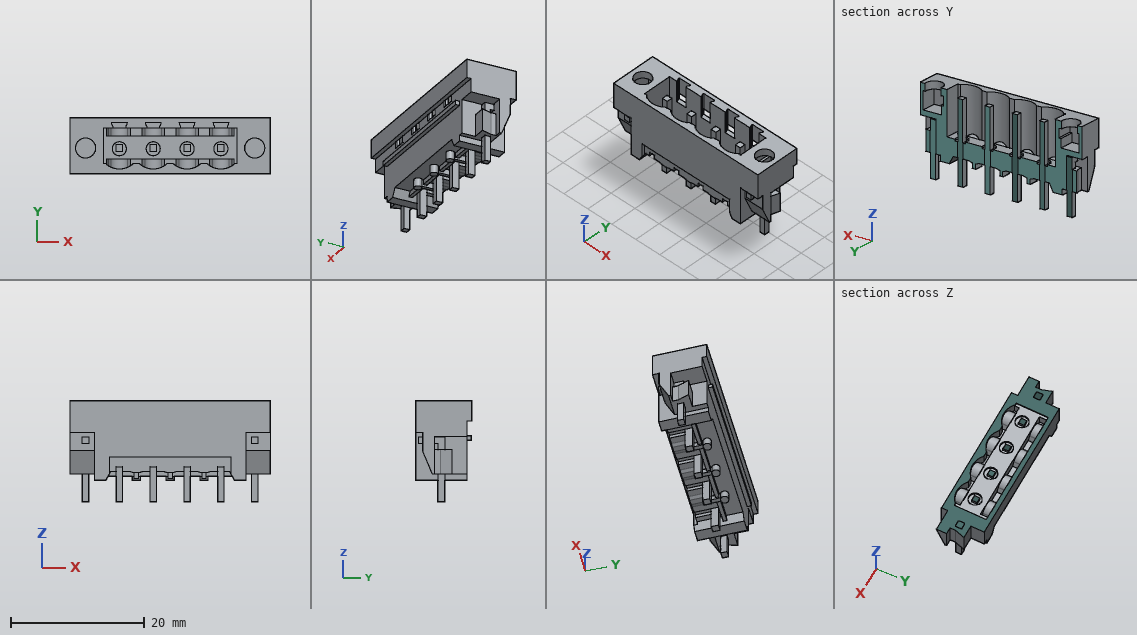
import cadquery as cq
import math


OVERALL_LENGTH = 30.12
LENGTH = 30.1
DEPTH = 8.43
HEIGHT = 15.2
FOOT_Z = 3.22
BACK_Y = 7.7
OVERHANG_Z = 12.1
RIDGE_TOP_Z = 9.95
RIDGE_HEIGHT = 0.72
RIDGE_Y = 8.37
HALF_LENGTH = LENGTH / 2

TERMINAL_COUNT = 4
END_PIN_SPAN = 25.4
PITCH = END_PIN_SPAN / (TERMINAL_COUNT + 1)
END_X = END_PIN_SPAN / 2
TERMINAL_XS = [(i - (TERMINAL_COUNT - 1) / 2) * PITCH for i in range(TERMINAL_COUNT)]
MIDWAY_XS = [x + PITCH / 2 for x in TERMINAL_XS[:-1]]

PIN_WIDTH = 1.0
PIN_BACK_Y = 4.37
PIN_TOP_Z = 14.28
PIN_BASE_DEPTH = 1.1
PIN_STEP_Z = 5.27
PIN_BASE_FRONT_Y = PIN_BACK_Y - PIN_BASE_DEPTH
PIN_CENTER_Y = PIN_BACK_Y - PIN_WIDTH / 2

MOUNT_LEG_TOP_Z = 9.75
MOUNT_LEG_FRONT_Y = 0.45

BLOCK_HALF = 11.4
RECESS_HALF = 9.13
RECESS_DEPTH = 0.57
RECESS_TOP_Z = 6.72
UNDERSIDE_Z = 4.58
UNDERSIDE_HALF = 8.92
FOOT_INNER_X = 9.65
CROSS_WALL_Z = 3.83
CROSS_WALL_Y = 4.52
CROSS_WALL_THICKNESS = 0.6
WAVE_DROP = 0.18
WAVE_BASE_HALF = 1.0
WAVE_TIP_HALF = 0.42
RIB_WIDTH = 0.63
RIB_Z = 3.5
RIB_FRONT_Y = 2.55
POST_RADIUS = 0.63
POST_Y = 5.87

FLANGE_Z = 4.2
FLANGE_FRONT_Y = 1.0
FLANGE_TOP_Z = 10.4
SLOPE_TOP_Z = 7.75
SLOPE_FOOT_Y = 2.5
POCKET_FRONT_Y = 2.83
POCKET_INNER_X = 12.2
POCKET_TOP_Z = 9.85
NUT_CAVITY_OUTER_X = 14.45
NUT_CAVITY_INNER_X = 11.17
NUT_CAVITY_FRONT_Y = 1.5
NUT_CAVITY_BACK_Y = 6.9
NUT_CAVITY_FLOOR_Z = 10.85
NUT_SLOT_INNER_X = 10.75
NUT_SLOT_Z = 12.38
SCREW_HOLE_DIAMETER = 3.0
SCREW_HOLE_DEPTH = 1.33
SCREW_HOLE_Z = HEIGHT - SCREW_HOLE_DEPTH
WEDGE_TOP_Z = 7.83
WEDGE_BACK_Y = 5.45
WEDGE_BEND_Y = 3.73
WEDGE_BACK_X = 14.45
WEDGE_FRONT_X = 13.92
LIP_THICKNESS = 0.1

CAVITY_HALF = 10.03
CAVITY_FRONT_Y = 1.55
CAVITY_BACK_Y = 6.9
CAVITY_FLOOR_Z = 7.53
SCALLOP_FRONT_Y = 0.72
SCALLOP_HALF = 2.08
TROUGH_HALF = 9.58
TROUGH_FLOOR_Z = 6.02
BRIDGE_FRONT_Y = 2.25
BRIDGE_BACK_Y = 5.7
HUMP_HALF = 1.7
HUMP_ARC_HALF = 1.23
HUMP_FLANK_ANGLE = 56.0
COLLAR_DIAMETER = 2.1
COLLAR_Y = 3.75
COLLAR_DEPTH = 0.3

DOVETAIL_NECK_HALF = 0.95
DOVETAIL_BACK_HALF = 1.15
DOVETAIL_NECK_LENGTH = 0.2
DOVETAIL_BACK_LENGTH = 0.25
DOVETAIL_FLOOR_Z = 11.1


def box(x0, x1, y0, y1, z0, z1):
    return cq.Workplane("XY").box(x1 - x0, y1 - y0, z1 - z0, centered=False).translate((x0, y0, z0))


def prism_along_y(outline, y0, y1):
    """Extrude a closed XZ outline from y0 to y1."""
    return outline.extrude(y0 - y1).translate((0, y0, 0))


def both_ends(feature):
    """Join a feature at the -X end with its mirror image at the +X end."""
    return feature.union(feature.mirror("YZ"))


def make_shell():
    """Outer block with the rear overhang, and a ridge along the back."""
    profile = [
        (0, FOOT_Z),
        (BACK_Y, FOOT_Z),
        (BACK_Y, OVERHANG_Z),
        (DEPTH, OVERHANG_Z),
        (DEPTH, HEIGHT),
        (0, HEIGHT),
    ]
    shell = cq.Workplane("YZ").polyline(profile).close().extrude(HALF_LENGTH, both=True)
    ridge = box(-BLOCK_HALF, BLOCK_HALF, BACK_Y, RIDGE_Y, RIDGE_TOP_Z - RIDGE_HEIGHT, RIDGE_TOP_Z)
    return shell.union(ridge)


def flange_clearance():
    """Space in front of and below each end flange."""
    outline = [
        (0, FOOT_Z),
        (DEPTH, FOOT_Z),
        (DEPTH, FLANGE_Z),
        (SLOPE_FOOT_Y, FLANGE_Z),
        (FLANGE_FRONT_Y, SLOPE_TOP_Z),
        (FLANGE_FRONT_Y, FLANGE_TOP_Z),
        (0, FLANGE_TOP_Z),
    ]
    clearance = cq.Workplane("YZ").polyline(outline).close().extrude(HALF_LENGTH - BLOCK_HALF)
    return both_ends(clearance.translate((-HALF_LENGTH, 0, 0)))


def flange_pocket():
    """Pocket behind each flange, open to the end, the back and below."""
    return both_ends(box(-HALF_LENGTH, -POCKET_INNER_X, POCKET_FRONT_Y, BACK_Y, FLANGE_Z, POCKET_TOP_Z))


def nut_chamber(inner_x, floor_z, top_z):
    return box(-NUT_CAVITY_OUTER_X, -inner_x, NUT_CAVITY_FRONT_Y, NUT_CAVITY_BACK_Y, floor_z, top_z)


def screw_mount():
    """Screw hole at each end, opening into a stepped nut cavity below it."""
    cavity = nut_chamber(NUT_CAVITY_INNER_X, NUT_CAVITY_FLOOR_Z, NUT_SLOT_Z)
    nut_slot = nut_chamber(NUT_SLOT_INNER_X, NUT_SLOT_Z, SCREW_HOLE_Z)
    screw_hole = (
        cq.Workplane("XY", origin=(-END_X, PIN_CENTER_Y, SCREW_HOLE_Z))
        .circle(SCREW_HOLE_DIAMETER / 2)
        .extrude(SCREW_HOLE_DEPTH)
    )
    return both_ends(cavity.union(nut_slot).union(screw_hole))


def flange_wedge():
    """Block around each mounting pin with one slanted outer face."""
    outline = [
        (-POCKET_INNER_X, WEDGE_BACK_Y),
        (-WEDGE_BACK_X, WEDGE_BACK_Y),
        (-WEDGE_FRONT_X, WEDGE_BEND_Y),
        (-WEDGE_FRONT_X, POCKET_FRONT_Y),
        (-POCKET_INNER_X, POCKET_FRONT_Y),
    ]
    wedge = cq.Workplane("XY", origin=(0, 0, FLANGE_Z)).polyline(outline).close()
    return both_ends(wedge.extrude(WEDGE_TOP_Z - FLANGE_Z))


def end_lip():
    """Thin lip on the +X end, along the upright front edge of the flange."""
    lip_back_y = FLANGE_FRONT_Y + LIP_THICKNESS
    lip_x = OVERALL_LENGTH - HALF_LENGTH
    return box(HALF_LENGTH, lip_x, FLANGE_FRONT_Y, lip_back_y, SLOPE_TOP_Z, FLANGE_TOP_Z)


def underside_channel():
    """Channel between the legs, with the shallow recess in the front face above it."""
    outline = [
        (-FOOT_INNER_X, FOOT_Z),
        (FOOT_INNER_X, FOOT_Z),
        (UNDERSIDE_HALF, UNDERSIDE_Z),
        (-UNDERSIDE_HALF, UNDERSIDE_Z),
    ]
    channel = prism_along_y(cq.Workplane("XZ").polyline(outline).close(), 0, BACK_Y)
    cross_wall_back_y = CROSS_WALL_Y + CROSS_WALL_THICKNESS
    cross_wall = box(-FOOT_INNER_X, FOOT_INNER_X, CROSS_WALL_Y, cross_wall_back_y, CROSS_WALL_Z, UNDERSIDE_Z)
    recess = box(-RECESS_HALF, RECESS_HALF, 0, RECESS_DEPTH, FOOT_Z, RECESS_TOP_Z)
    return channel.cut(cross_wall).union(recess)


def spacer(x):
    """Lowered underside, rib and round standoff midway between two terminals."""
    wave_outline = [
        (x - WAVE_BASE_HALF, UNDERSIDE_Z),
        (x - WAVE_TIP_HALF, UNDERSIDE_Z - WAVE_DROP),
        (x + WAVE_TIP_HALF, UNDERSIDE_Z - WAVE_DROP),
        (x + WAVE_BASE_HALF, UNDERSIDE_Z),
    ]
    wave = prism_along_y(cq.Workplane("XZ").polyline(wave_outline).close(), RECESS_DEPTH, CROSS_WALL_Y)
    rib = box(x - RIB_WIDTH / 2, x + RIB_WIDTH / 2, RIB_FRONT_Y, POST_Y, RIB_Z, UNDERSIDE_Z)
    post = (
        cq.Workplane("XY", origin=(x, POST_Y, FOOT_Z))
        .circle(POST_RADIUS)
        .extrude(UNDERSIDE_Z - FOOT_Z)
    )
    return wave.union(rib).union(post)


def scallop(x, floor_z):
    """Circular-segment bulge of the cavity front at one terminal."""
    return (
        cq.Workplane("XY", origin=(x, 0, floor_z))
        .moveTo(-SCALLOP_HALF, CAVITY_FRONT_Y)
        .threePointArc((0, SCALLOP_FRONT_Y), (SCALLOP_HALF, CAVITY_FRONT_Y))
        .lineTo(SCALLOP_HALF, BRIDGE_FRONT_Y)
        .lineTo(-SCALLOP_HALF, BRIDGE_FRONT_Y)
        .close()
        .extrude(HEIGHT - floor_z)
    )


def plug_cavity():
    """Cavity with a scalloped front and a deeper trough on each side of the bridge."""
    cavity = box(-CAVITY_HALF, CAVITY_HALF, CAVITY_FRONT_Y, CAVITY_BACK_Y, CAVITY_FLOOR_Z, HEIGHT)
    trough = box(-TROUGH_HALF, TROUGH_HALF, CAVITY_FRONT_Y, CAVITY_BACK_Y, TROUGH_FLOOR_Z, HEIGHT)
    bridge = box(-TROUGH_HALF, TROUGH_HALF, BRIDGE_FRONT_Y, BRIDGE_BACK_Y, TROUGH_FLOOR_Z, CAVITY_FLOOR_Z)
    scallops = scallop(TERMINAL_XS[0], TROUGH_FLOOR_Z)
    for x in TERMINAL_XS[1:]:
        scallops = scallops.union(scallop(x, TROUGH_FLOOR_Z))
    scallops = scallops.intersect(box(-TROUGH_HALF, TROUGH_HALF, 0, BRIDGE_FRONT_Y, TROUGH_FLOOR_Z, HEIGHT))
    return cavity.union(trough).union(scallops).cut(bridge)


def hump(x):
    """Arched bar across the troughs under one terminal; the flanks are tangent to the arc."""
    flank = math.radians(HUMP_FLANK_ANGLE)
    shoulder_z = TROUGH_FLOOR_Z + (HUMP_HALF - HUMP_ARC_HALF) * math.tan(flank)
    crown_z = shoulder_z + HUMP_ARC_HALF * math.tan(flank / 2)
    outline = (
        cq.Workplane("XZ")
        .moveTo(x - HUMP_HALF, TROUGH_FLOOR_Z)
        .lineTo(x - HUMP_ARC_HALF, shoulder_z)
        .threePointArc((x, crown_z), (x + HUMP_ARC_HALF, shoulder_z))
        .lineTo(x + HUMP_HALF, TROUGH_FLOOR_Z)
        .close()
    )
    return prism_along_y(outline, SCALLOP_FRONT_Y, CAVITY_BACK_Y)


def dovetail(x):
    """Coding slot in the cavity's back wall, breaking out below the rear overhang."""
    neck_end_y = CAVITY_BACK_Y + DOVETAIL_NECK_LENGTH
    slant_end_y = BACK_Y - DOVETAIL_BACK_LENGTH
    outline = [
        (x - DOVETAIL_NECK_HALF, CAVITY_BACK_Y),
        (x + DOVETAIL_NECK_HALF, CAVITY_BACK_Y),
        (x + DOVETAIL_NECK_HALF, neck_end_y),
        (x + DOVETAIL_BACK_HALF, slant_end_y),
        (x + DOVETAIL_BACK_HALF, BACK_Y),
        (x - DOVETAIL_BACK_HALF, BACK_Y),
        (x - DOVETAIL_BACK_HALF, slant_end_y),
        (x - DOVETAIL_NECK_HALF, neck_end_y),
    ]
    slot = cq.Workplane("XY", origin=(0, 0, DOVETAIL_FLOOR_Z)).polyline(outline).close()
    return slot.extrude(HEIGHT - DOVETAIL_FLOOR_Z)


def collar_recess(x):
    """Shallow round recess in the bridge around one terminal."""
    recess = cq.Workplane("XY", origin=(x, COLLAR_Y, CAVITY_FLOOR_Z - COLLAR_DEPTH))
    return recess.circle(COLLAR_DIAMETER / 2).extrude(COLLAR_DEPTH)


def pin_groove(x):
    """Groove in the underside that exposes the front of one terminal's base."""
    half = PIN_WIDTH / 2
    return box(x - half, x + half, RECESS_DEPTH, PIN_BASE_FRONT_Y, UNDERSIDE_Z, PIN_STEP_Z)


def make_terminal(x):
    half = PIN_WIDTH / 2
    shaft = box(x - half, x + half, PIN_BACK_Y - PIN_WIDTH, PIN_BACK_Y, 0, PIN_TOP_Z)
    base = box(x - half, x + half, PIN_BASE_FRONT_Y, PIN_BACK_Y, 0, PIN_STEP_Z)
    return shaft.union(base).solids()


def make_mounting_pin(x):
    half = PIN_WIDTH / 2
    shaft = box(x - half, x + half, PIN_BACK_Y - PIN_WIDTH, PIN_BACK_Y, 0, MOUNT_LEG_TOP_Z)
    leg_bottom_z = MOUNT_LEG_TOP_Z - PIN_WIDTH
    leg = box(x - half, x + half, MOUNT_LEG_FRONT_Y, PIN_BACK_Y, leg_bottom_z, MOUNT_LEG_TOP_Z)
    return shaft.union(leg).solids()


def make_housing(pins):
    housing = make_shell().cut(flange_clearance()).cut(flange_pocket()).cut(screw_mount())
    housing = housing.union(flange_wedge()).union(end_lip())
    housing = housing.cut(underside_channel()).cut(plug_cavity())
    for x in MIDWAY_XS:
        housing = housing.union(spacer(x))
    for x in TERMINAL_XS:
        housing = housing.union(hump(x))
        housing = housing.cut(dovetail(x)).cut(collar_recess(x)).cut(pin_groove(x))
    for pin in pins:
        housing = housing.cut(pin)
    return housing.solids()


terminals = [make_terminal(x) for x in TERMINAL_XS]
mounting_pins = [make_mounting_pin(x) for x in (-END_X, END_X)]
housing = make_housing(terminals + mounting_pins)

result = cq.Compound.makeCompound([housing.val(), *[pin.val() for pin in terminals + mounting_pins]])